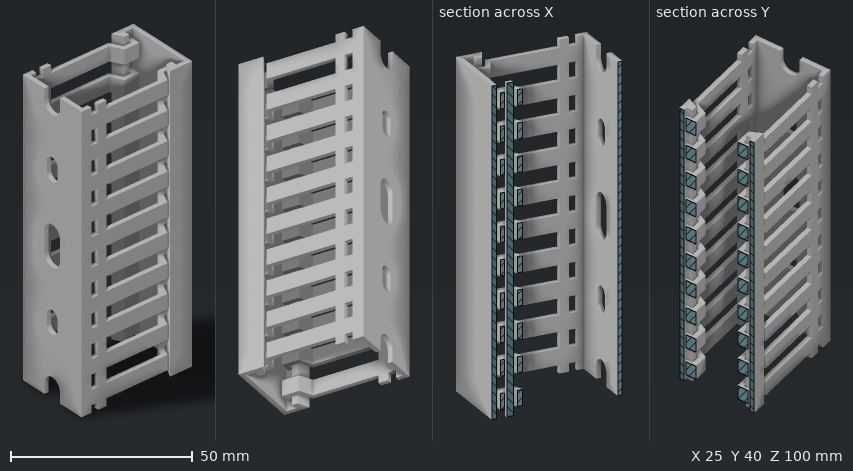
import cadquery as cq
import math

width = 25.0
depth = 40.0
length = 100.0
half_width = width / 2
back_y = -depth / 2
front_y = depth / 2

wall = 1.5
finger_neck_offset = 4.0
finger_bend_y = front_y - 9.0
finger_neck_y = front_y - 7.0
finger_hook_back_y = front_y - 4.0
finger_tip_y = front_y - 2.5
finger_hook_offset = 2.0

finger_slope_angle = math.atan2(finger_neck_y - finger_bend_y, finger_neck_offset)
inner_bend_drop = wall * math.tan(math.pi / 4 - finger_slope_angle / 2)

cover_wall = 1.5
cover_lip_offset = 3.5
cover_lip_front_y = front_y - 4.5
cover_skirt_y = front_y - 8.0
cover_lip_back_y = cover_skirt_y + cover_lip_offset * math.tan(finger_slope_angle)

pitch = 10.0
opening_height = 5.0
opening_count = 11
window_back_y = back_y + 3.5
window_front_y = back_y + 6.0
finger_root_y = back_y + 9.0

large_slot_width = 6.5
large_slot_length = 14.0
large_slot_spacing = length / 2
small_slot_width = 4.5
small_slot_length = 8.0
small_slot_spacing = length / 2


def symmetric_profile(right_half):
    """Extrude a closed section over the length from its right half, mirrored about X = 0."""
    left_half = [(-x, y) for x, y in reversed(right_half)]
    return (
        cq.Workplane("XY", origin=(0, 0, -length / 2))
        .polyline(right_half + left_half)
        .close()
        .extrude(length)
    )


def cut_side_openings(body, y_start, y_end):
    """Cut a row of openings through both side walls; the end ones run off the duct."""
    first_z = -pitch * (opening_count - 1) / 2
    for index in range(opening_count):
        center = (0, (y_start + y_end) / 2, first_z + index * pitch)
        cutter = cq.Workplane("XY", origin=center).box(width, y_end - y_start, opening_height)
        body = body.cut(cutter)
    return body


def cut_back_slots(body, slot_length, slot_width, z_centers):
    """Cut rounded slots, long along Z, through the back panel."""
    cutters = (
        cq.Workplane("XZ", origin=(0, back_y + wall, 0))
        .pushPoints([(0, z) for z in z_centers])
        .slot2D(slot_length, slot_width, angle=90)
        .extrude(wall)
    )
    return body.cut(cutters)


def make_duct():
    inner_x = half_width - wall
    neck_x = half_width - finger_neck_offset
    neck_inner_x = neck_x - wall
    hook_x = half_width - finger_hook_offset
    duct = symmetric_profile([
        (half_width, back_y),
        (half_width, finger_bend_y),
        (neck_x, finger_neck_y),
        (neck_x, finger_hook_back_y),
        (hook_x, finger_hook_back_y),
        (hook_x, finger_tip_y),
        (neck_inner_x, finger_tip_y),
        (neck_inner_x, finger_neck_y - inner_bend_drop),
        (inner_x, finger_bend_y - inner_bend_drop),
        (inner_x, back_y + wall),
    ])
    duct = cut_side_openings(duct, window_back_y, window_front_y)
    duct = cut_side_openings(duct, finger_root_y, front_y)
    large_centers = [-large_slot_spacing, 0, large_slot_spacing]
    small_centers = [-small_slot_spacing / 2, small_slot_spacing / 2]
    duct = cut_back_slots(duct, large_slot_length, large_slot_width, large_centers)
    return cut_back_slots(duct, small_slot_length, small_slot_width, small_centers)


def make_cover():
    inner_x = half_width - cover_wall
    lip_x = half_width - cover_lip_offset
    return symmetric_profile([
        (half_width, front_y),
        (half_width, cover_skirt_y),
        (lip_x, cover_lip_back_y),
        (lip_x, cover_lip_front_y),
        (inner_x, cover_lip_front_y),
        (inner_x, front_y - cover_wall),
    ])


duct = make_duct()
cover = make_cover()
result = cq.Compound.makeCompound([duct.val(), cover.val()])